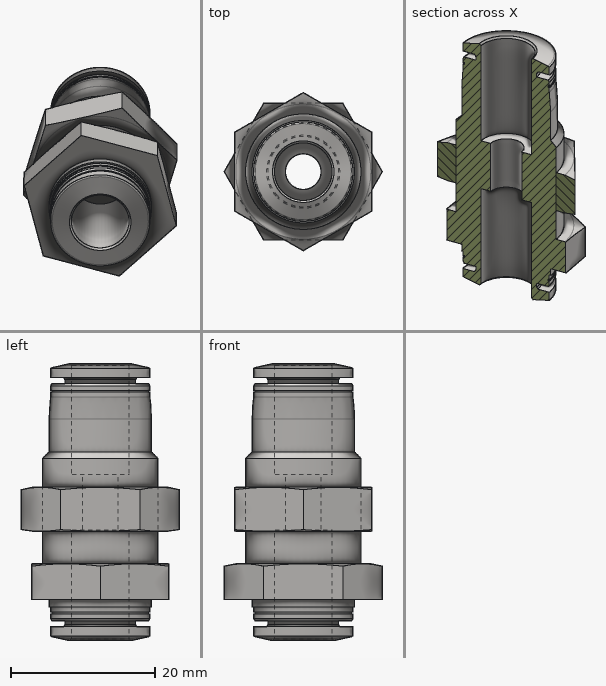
import cadquery as cq
import math

length = 38.4
hex_corner_diameter = 21.93
hex_chamfer_diameter = 18.75
top_chamfer_drop = 0.35
bottom_chamfer_drop = 0.23
flange_bottom = 5.7
flange_top = 10.68
nut_bottom = 15.15
nut_top = 21.27

thread_radius = 16.0 / 2
shank_radius = 14.2 / 2
collar_radius = 13.8 / 2
groove_radius = 13.45 / 2
stem_radius = 9.8 / 2

shoulder_bottom = 25.25
shoulder_top = shoulder_bottom + thread_radius - shank_radius
crown_bottom = 30.72

rim_radius = 13.32 / 2
rim_start = 0.55
rim_depth = 0.65
button_depth = 1.95
stem_cone_depth = 2.23
stem_cone_radius = 5.05
collar_start = 2.75
collar_end = 4.65
collar_chamfer_width = 0.2
collar_chamfer_depth = 0.3
groove_start = 3.72
groove_end = 3.95

tube_radius = 8.0 / 2
mouth_radius = 8.52 / 2
mouth_depth = 0.25
tube_depth = 15.35
passage_radius = 4.9 / 2


def end_outline():
    """Points (radius, distance from the end) of one end, from mouth to collar."""
    return [
        (mouth_radius, 0),
        (rim_radius, rim_start),
        (collar_radius, rim_depth),
        (collar_radius, button_depth),
        (stem_cone_radius, button_depth),
        (stem_radius, stem_cone_depth),
        (stem_radius, collar_start),
        (collar_radius - collar_chamfer_width, collar_start),
        (collar_radius, collar_start + collar_chamfer_depth),
        (collar_radius, groove_start),
        (groove_radius, groove_start),
        (groove_radius, groove_end),
        (collar_radius, groove_end),
        (collar_radius, collar_end),
    ]


def hexagon(bottom, top, corner_angle):
    """Hexagonal prism with one corner at corner_angle from +X."""
    return (
        cq.Workplane("XY", origin=(0, 0, bottom))
        .transformed(rotate=(0, 0, corner_angle))
        .polygon(6, hex_corner_diameter)
        .extrude(top - bottom)
    )


def chamfer_envelope(bottom, top, bottom_drop, top_drop):
    """Turned blank whose conical ends trim the corners of a hexagon."""
    corner_radius = hex_corner_diameter / 2
    face_radius = hex_chamfer_diameter / 2
    bottom_radius = face_radius if bottom_drop else corner_radius
    outline = cq.Workplane("XZ").moveTo(0, bottom).lineTo(bottom_radius, bottom)
    if bottom_drop:
        outline = outline.lineTo(corner_radius, bottom + bottom_drop)
    outline = (
        outline.lineTo(corner_radius, top - top_drop)
        .lineTo(face_radius, top)
        .lineTo(0, top)
        .close()
    )
    return outline.revolve(360, (0, 0), (0, 1))


def make_turned_body():
    """Outer turned shape of the fitting, solid and without its hexagon."""
    lower_end = end_outline()
    upper_end = [(radius, length - depth) for radius, depth in reversed(end_outline())]

    crown_height = length - collar_end - crown_bottom
    crown_narrowing = shank_radius - collar_radius
    crown_arc_radius = (crown_height**2 + crown_narrowing**2) / (2 * crown_narrowing)
    middle_rise = crown_height / 2
    middle_radius = shank_radius - crown_arc_radius + math.sqrt(crown_arc_radius**2 - middle_rise**2)

    outline = cq.Workplane("XZ").moveTo(0, 0)
    for point in lower_end:
        outline = outline.lineTo(*point)
    outline = (
        outline.lineTo(shank_radius, collar_end)
        .lineTo(shank_radius, flange_bottom)
        .lineTo(thread_radius, flange_bottom)
        .lineTo(thread_radius, shoulder_bottom)
        .lineTo(shank_radius, shoulder_top)
        .lineTo(shank_radius, crown_bottom)
        .threePointArc((middle_radius, crown_bottom + middle_rise), upper_end[0])
    )
    for point in upper_end[1:]:
        outline = outline.lineTo(*point)
    return outline.lineTo(0, length).close().revolve(360, (0, 0), (0, 1))


def make_bore():
    """Passage with a flared tube socket at each end."""
    outline = cq.Workplane("XZ").polyline([
        (0, 0),
        (mouth_radius, 0),
        (tube_radius, mouth_depth),
        (tube_radius, tube_depth),
        (passage_radius, tube_depth),
        (passage_radius, length - tube_depth),
        (tube_radius, length - tube_depth),
        (tube_radius, length - mouth_depth),
        (mouth_radius, length),
        (0, length),
    ]).close()
    return outline.revolve(360, (0, 0), (0, 1))


def make_fitting():
    """Turned fitting with its hexagonal flange, corners on the X axis."""
    flange = hexagon(flange_bottom, flange_top, 0).intersect(
        chamfer_envelope(flange_bottom, flange_top, 0, top_chamfer_drop)
    )
    return make_turned_body().union(flange).cut(make_bore())


def make_nut():
    """Hexagonal nut around the thread, corners on the Y axis."""
    blank = hexagon(nut_bottom, nut_top, 90).intersect(
        chamfer_envelope(nut_bottom, nut_top, bottom_chamfer_drop, top_chamfer_drop)
    )
    thread_hole = (
        cq.Workplane("XY", origin=(0, 0, nut_bottom))
        .circle(thread_radius)
        .extrude(nut_top - nut_bottom)
    )
    return blank.cut(thread_hole)


fitting = make_fitting()
nut = make_nut()
result = cq.Compound.makeCompound([fitting.val(), nut.val()])